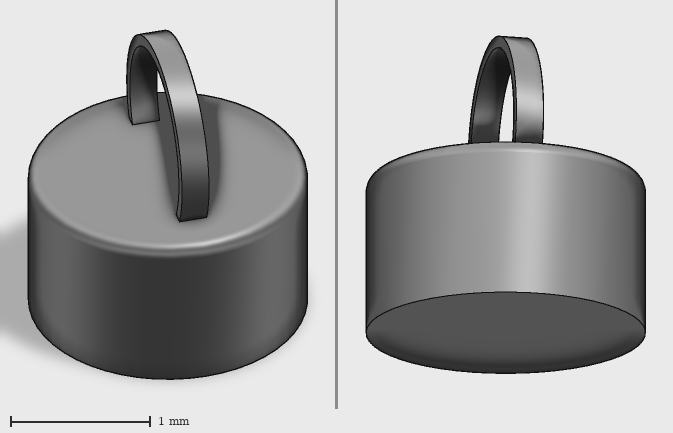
import cadquery as cq

total_height = 2.18
body_diameter = 2.0

body_height = 1.149
top_edge_radius = 0.1

ring_outer_radius = 0.732
ring_thickness = 0.083
ring_width = 0.2
ring_inner_radius = ring_outer_radius - ring_thickness
ring_center_height = total_height - ring_outer_radius


def make_body():
    """Solid cylinder standing on Z = 0 with a rounded top edge."""
    body = cq.Workplane("XY").circle(body_diameter / 2).extrude(body_height)
    return body.faces(">Z").edges().fillet(top_edge_radius)


def make_ring():
    """Flat ring in the XZ plane, centred on the body axis."""
    return (
        cq.Workplane("XZ")
        .center(0, ring_center_height)
        .circle(ring_outer_radius)
        .circle(ring_inner_radius)
        .extrude(ring_width / 2, both=True)
    )


result = make_body().union(make_ring())